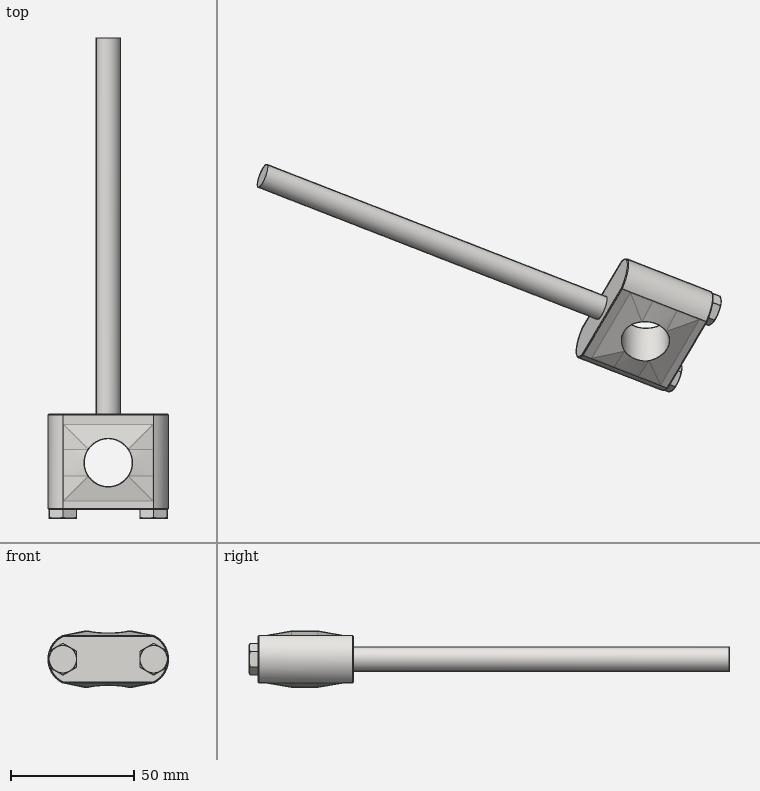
import cadquery as cq
import math

total_length = 194.7
body_width = 48.9
body_height = 19.3
body_front = -18.9
body_back = 19.7
edge_chamfer = 0.4
bolt_spacing = 36.8
bore_diameter = 19.5
rod_diameter = 10.0
hex_sides = 6
head_height = 3.7
head_across_flats = 11.0
head_chamfer_angle = 30.0
pad_length = 31.0
pad_width = 36.2
pad_rise = 1.8

body_length = body_back - body_front
rod_end = total_length + body_front - head_height


side_excess = (pad_width - pad_length) / 2
crest_x = side_excess / 2 + math.sqrt(bore_diameter**2 / 8 - side_excess**2 / 4)
crest_y = crest_x - side_excess


def make_body():
    """Flat block with arched sides, chamfered around both end faces."""
    flat_x = bolt_spacing / 2
    top_z = body_height / 2
    side_x = body_width / 2
    outline = (
        cq.Workplane("XZ", origin=(0, body_back, 0))
        .moveTo(-flat_x, top_z)
        .lineTo(flat_x, top_z)
        .threePointArc((side_x, 0), (flat_x, -top_z))
        .lineTo(-flat_x, -top_z)
        .threePointArc((-side_x, 0), (-flat_x, top_z))
        .close()
    )
    return outline.extrude(body_length).faces("<Y or >Y").chamfer(edge_chamfer)


def make_pyramid():
    """Truncated pyramid whose top rectangle has its corners on the bore circle."""
    draft_angle = math.degrees(math.atan((pad_width / 2 - crest_x) / pad_rise))
    return (
        cq.Workplane("XY", origin=(0, 0, body_height / 2))
        .rect(pad_width, pad_length)
        .extrude(pad_rise, taper=draft_angle)
    )


def make_bore_ramps():
    """Ramps that rise from straight side edges to arcs of the bore rim at a constant height."""
    bore_radius = bore_diameter / 2
    return (
        cq.Workplane("XY", origin=(0, 0, body_height / 2))
        .rect(pad_width, 2 * crest_y)
        .workplane(offset=pad_rise)
        .moveTo(-crest_x, -crest_y)
        .lineTo(crest_x, -crest_y)
        .threePointArc((bore_radius, 0), (crest_x, crest_y))
        .lineTo(-crest_x, crest_y)
        .threePointArc((-bore_radius, 0), (-crest_x, -crest_y))
        .close()
        .loft(ruled=True)
    )


def make_bolt_head(x):
    """Hexagonal head, corners up and down, with its outer corners chamfered to a circle."""
    corner_diameter = head_across_flats / math.cos(math.pi / hex_sides)
    head = (
        cq.Workplane("XZ", origin=(x, body_front, 0))
        .transformed(rotate=(0, 0, 90))
        .polygon(hex_sides, corner_diameter)
        .extrude(head_height)
    )
    chamfer_cone = (
        cq.Workplane("XZ", origin=(x, body_front - head_height, 0))
        .circle(head_across_flats / 2)
        .extrude(-head_height, taper=head_chamfer_angle - 90)
    )
    return head.intersect(chamfer_cone)


top_pad = make_pyramid().union(make_bore_ramps())
bottom_pad = top_pad.mirror("XY")
bore_bottom = -body_height / 2 - pad_rise
bore = (
    cq.Workplane("XY", origin=(0, 0, bore_bottom))
    .circle(bore_diameter / 2)
    .extrude(-2 * bore_bottom)
)
rod = (
    cq.Workplane("XZ", origin=(0, rod_end, 0))
    .circle(rod_diameter / 2)
    .extrude(rod_end - body_back)
)

result = make_body().union(top_pad).union(bottom_pad).cut(bore).union(rod)
for bolt_x in (-bolt_spacing / 2, bolt_spacing / 2):
    result = result.union(make_bolt_head(bolt_x))